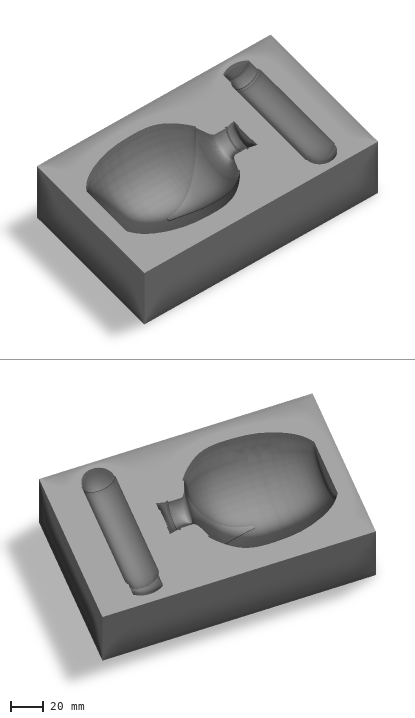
import cadquery as cq

WIDTH, LENGTH, HEIGHT = 110.6, 181.0, 48.0

TUBE_Y = 56.8
TUBE_RADIUS = 11.2
TUBE_START_X, TUBE_END_X = -35.8, 40.7
TUBE_CHAMFER = 0.5
DOME_RADIUS = 10.7
DOME_LENGTH = 10.0
COLLAR_RADIUS = 10.7
CAP_RADIUS = 10.0
CAP_START_X, CAP_END_X = -46.3, -37.7
CAP_CROWN = 3.3

BOTTLE_X = 0.4
MOUTH_Y = 29.3
MOUTH_RADIUS = 12.3
MOUTH_DISH_RADIUS = 6.7
MOUTH_DISH_DEPTH = 0.5
BEAD_TOP_Y, BEAD_BOTTOM_Y = 23.2, 21.7
BEAD_RADIUS = 11.5
LIP_BASE_RADIUS = 10.9
NECK_RADIUS = 10.5
NECK_END_Y = 14.7
FLARE_POINTS = [
    (10.7, 12.9),
    (13.0, 10.7),
    (17.0, 9.0),
]

SHOULDER_RADIUS, SHOULDER_Y = 22.6, 8.0
BASE_RADIUS, BASE_Y = 20.5, -78.5
BULGE_POINTS = [
    (33.0, -1.5),
    (37.8, -8.9),
    (41.0, -31.3),
    (39.5, -46.2),
    (34.8, -61.0),
    (28.0, -72.2),
]
SLEEVE_THICKNESS = 0.7

V_TIP_HALF_WIDTH, V_TIP_Y = 1.0, -30.8
V_MIDDLE_HALF_WIDTH, V_MIDDLE_Y = 8.5, -8.3


def bottle():
    """Neck, flared shoulder and body, revolved about Y."""
    inner_shoulder = (SHOULDER_RADIUS - SLEEVE_THICKNESS, SHOULDER_Y - SLEEVE_THICKNESS)
    inner_base = (BASE_RADIUS - SLEEVE_THICKNESS, BASE_Y)
    inner_bulge = [(radius - SLEEVE_THICKNESS, y) for radius, y in BULGE_POINTS]
    flank = FLARE_POINTS + [inner_shoulder] + inner_bulge + [inner_base]
    return (
        cq.Workplane("XY")
        .moveTo(0, BASE_Y)
        .lineTo(0, MOUTH_Y - MOUTH_DISH_DEPTH)
        .lineTo(MOUTH_DISH_RADIUS, MOUTH_Y - MOUTH_DISH_DEPTH)
        .lineTo(MOUTH_DISH_RADIUS, MOUTH_Y)
        .lineTo(MOUTH_RADIUS, MOUTH_Y)
        .lineTo(LIP_BASE_RADIUS, BEAD_TOP_Y)
        .lineTo(BEAD_RADIUS, BEAD_TOP_Y)
        .lineTo(BEAD_RADIUS, BEAD_BOTTOM_Y)
        .lineTo(NECK_RADIUS, BEAD_BOTTOM_Y)
        .lineTo(NECK_RADIUS, NECK_END_Y)
        .spline(flank, includeCurrent=True)
        .close()
        .revolve(360, (0, 0), (0, 1))
    )


def sleeve():
    """Slightly larger body, opened by a V on the underside and its mirror above."""
    bulge = BULGE_POINTS + [(BASE_RADIUS, BASE_Y)]
    shell = (
        cq.Workplane("XY")
        .moveTo(0, BASE_Y)
        .lineTo(0, SHOULDER_Y)
        .lineTo(SHOULDER_RADIUS, SHOULDER_Y)
        .spline(bulge, includeCurrent=True)
        .close()
        .revolve(360, (0, 0), (0, 1))
    )
    opening = (
        cq.Workplane("XY")
        .moveTo(-V_TIP_HALF_WIDTH, V_TIP_Y)
        .lineTo(V_TIP_HALF_WIDTH, V_TIP_Y)
        .threePointArc((V_MIDDLE_HALF_WIDTH, V_MIDDLE_Y), (SHOULDER_RADIUS, SHOULDER_Y))
        .lineTo(SHOULDER_RADIUS, MOUTH_Y)
        .lineTo(-SHOULDER_RADIUS, MOUTH_Y)
        .lineTo(-SHOULDER_RADIUS, SHOULDER_Y)
        .threePointArc((-V_MIDDLE_HALF_WIDTH, V_MIDDLE_Y), (-V_TIP_HALF_WIDTH, V_TIP_Y))
        .close()
        .extrude(HEIGHT, both=True)
    )
    return shell.cut(opening)


def tube():
    """Crowned cap, collar, barrel and domed end, revolved about the tube axis."""
    crown_radius = (CAP_RADIUS**2 + CAP_CROWN**2) / (2 * CAP_CROWN)
    crown_middle_y = CAP_RADIUS / 2
    crown_centre_x = CAP_START_X - CAP_CROWN + crown_radius
    crown_middle_x = crown_centre_x - (crown_radius**2 - crown_middle_y**2) ** 0.5
    dome_middle = (TUBE_END_X + DOME_LENGTH * 0.5**0.5, DOME_RADIUS * 0.5**0.5)
    dome_tip = (TUBE_END_X + DOME_LENGTH, 0)
    return (
        cq.Workplane("XY")
        .moveTo(CAP_START_X - CAP_CROWN, 0)
        .threePointArc((crown_middle_x, crown_middle_y), (CAP_START_X, CAP_RADIUS))
        .lineTo(CAP_END_X, CAP_RADIUS)
        .lineTo(CAP_END_X, COLLAR_RADIUS)
        .lineTo(TUBE_START_X - TUBE_CHAMFER, COLLAR_RADIUS)
        .lineTo(TUBE_START_X, TUBE_RADIUS)
        .lineTo(TUBE_END_X, TUBE_RADIUS)
        .lineTo(TUBE_END_X, DOME_RADIUS)
        .threePointArc(dome_middle, dome_tip)
        .close()
        .revolve(360, (0, 0), (1, 0))
        .translate((0, TUBE_Y, 0))
    )


block = cq.Workplane("XY").box(WIDTH, LENGTH, HEIGHT, centered=(True, True, False))
block = block.translate((0, 0, -HEIGHT))
bottle_offset = (BOTTLE_X, 0, 0)
result = (
    block.cut(sleeve().translate(bottle_offset))
    .cut(bottle().translate(bottle_offset))
    .cut(tube())
)